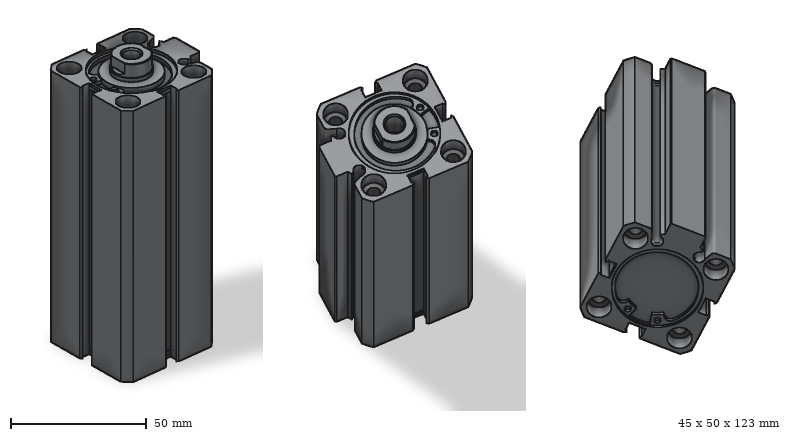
import cadquery as cq
import math

total_height = 123.0
rod_extension = 7.0
housing_length = total_height - rod_extension

housing_half = 22.5
corner_radius = 29.6
rail_half_width = 7.1
rail_top = 27.5
rail_edge_chamfer = 0.5

groove_center_x = 8.5
groove_center_y = 18.5
groove_radius = 2.2
lip_tip_x = 8.7
lip_tip_y = 21.5
neck_x = 7.0
neck_y = 19.5
wall_top_x = 11.8
wall_top_y = 21.2
mouth_x = 13.4
mouth_bulge = 0.2

slot_floor = 18.0
slot_half_width = 3.3
slot_mouth_half_width = 2.5
slot_lip_half_depth = 0.6

hole_offset = 16.2
hole_radius = 2.6
counterbore_radius = 4.5
counterbore_depth = 7.0

bore_radius = 16.9
ring_inset = 1.2
ring_thickness = 1.6
slot_wall = 0.1
ring_radius = slot_floor - slot_wall
cover_face_inset = ring_inset + ring_thickness
cover_length = 14.8
collar_radius = 12.2
collar_inset = 0.5

ring_inner_radius = 15.4
ring_inner_offset = 0.6
lug_inner_radius = 12.3
lug_half_angle = 35.0
gap_half_angle = 15.0
lug_fillet = 2.3
lug_hole_radius = 1.2
lug_hole_pitch_radius = 14.6
lug_hole_angle = 24.2

rod_radius = 8.0
tip_radius = 7.6
rod_shoulder = 1.1
tip_chamfer = 0.2
flat_half_width = 6.6
flat_bottom = 2.6
thread_radius = 3.5
thread_chamfer = 0.6
thread_depth = 12.9
drill_point_half_angle = 59.0


def cylinder(radius, bottom, top):
    return cq.Workplane("XY").workplane(offset=bottom).circle(radius).extrude(top - bottom)


def polar(radius, angle):
    """Point at an angle in degrees measured from the -Y axis."""
    return (radius * math.sin(math.radians(angle)), -radius * math.cos(math.radians(angle)))


def sector(radius, half_angle, height):
    """Pie slice centred on the -Y axis."""
    return (
        cq.Workplane("XY")
        .lineTo(*polar(radius, -half_angle))
        .threePointArc((0, -radius), polar(radius, half_angle))
        .close()
        .extrude(height)
    )


def housing_blank():
    side = 2 * housing_half
    block = cq.Workplane("XY").rect(side, side).extrude(housing_length)
    block = block.intersect(cylinder(corner_radius, 0, housing_length))
    rail = (
        cq.Workplane("XY")
        .center(0, rail_top / 2)
        .rect(2 * rail_half_width, rail_top)
        .extrude(housing_length)
        .edges("|Z and >Y")
        .chamfer(rail_edge_chamfer)
    )
    return block.union(rail)


def sensor_groove():
    """Round-bottomed groove on the +X side of the rail, with an undercut below the rail's lip."""
    wall_bottom_x = groove_center_x + groove_radius
    rounding_middle = (
        (wall_top_x + mouth_x) / 2 - mouth_bulge,
        (wall_top_y + housing_half) / 2 + mouth_bulge,
    )
    mouth = (
        cq.Workplane("XY")
        .moveTo(groove_center_x, groove_center_y)
        .lineTo(wall_bottom_x, groove_center_y)
        .lineTo(wall_top_x, wall_top_y)
        .threePointArc(rounding_middle, (mouth_x, housing_half))
        .lineTo(rail_half_width, housing_half)
        .lineTo(lip_tip_x, lip_tip_y)
        .lineTo(neck_x, neck_y)
        .close()
        .extrude(housing_length)
    )
    channel = (
        cq.Workplane("XY")
        .center(groove_center_x, groove_center_y)
        .circle(groove_radius)
        .extrude(housing_length)
    )
    return mouth.union(channel)


def side_slot(angle):
    """Slot in the -Y side with pointed lips at its mouth, turned by an angle about the bore axis."""
    face = -housing_half
    right_wall = [
        (slot_half_width, face),
        (slot_mouth_half_width, face + slot_lip_half_depth),
        (slot_half_width, face + 2 * slot_lip_half_depth),
        (slot_half_width, -slot_floor),
    ]
    left_wall = [(-x, y) for x, y in reversed(right_wall)]
    slot = cq.Workplane("XY").polyline(right_wall + left_wall).close().extrude(housing_length)
    return slot.rotate((0, 0, 0), (0, 0, 1), angle)


def mounting_holes():
    spacing = 2 * hole_offset
    through = (
        cq.Workplane("XY").rarray(spacing, spacing, 2, 2).circle(hole_radius).extrude(housing_length)
    )
    counterbores = (
        cq.Workplane("XY")
        .rarray(spacing, spacing, 2, 2)
        .circle(counterbore_radius)
        .extrude(counterbore_depth)
    )
    top_counterbores = counterbores.translate((0, 0, housing_length - counterbore_depth))
    return through.union(counterbores).union(top_counterbores)


def make_housing():
    body = housing_blank()
    groove = sensor_groove()
    body = body.cut(groove).cut(groove.mirror("YZ"))
    for angle in (-90, 0, 90):
        body = body.cut(side_slot(angle))
    body = body.cut(mounting_holes())
    body = body.cut(cylinder(bore_radius, 0, housing_length))
    for ring_bottom in (ring_inset, housing_length - cover_face_inset):
        body = body.cut(cylinder(ring_radius, ring_bottom, ring_bottom + ring_thickness))
    return body


def make_rod_cover():
    face = housing_length - cover_face_inset
    bottom = face - cover_length
    collar_top = housing_length - collar_inset
    flange = cylinder(bore_radius, bottom, face)
    collar = cylinder(collar_radius, face, collar_top)
    return flange.union(collar).cut(cylinder(rod_radius, bottom, collar_top))


def make_rear_cover():
    return cylinder(bore_radius, cover_face_inset, cover_face_inset + cover_length)


def make_retaining_ring(bottom):
    opening = (
        cq.Workplane("XY").center(0, -ring_inner_offset).circle(ring_inner_radius).extrude(ring_thickness)
    )
    opening = opening.cut(sector(ring_radius, lug_half_angle, ring_thickness))
    lug_root_y = polar(lug_inner_radius, lug_half_angle)[1]
    lug_roots = cq.selectors.BoxSelector(
        (-ring_radius, -ring_radius, 0), (ring_radius, lug_root_y, ring_thickness)
    )
    opening = opening.edges("|Z").edges(lug_roots).fillet(lug_fillet)
    opening = opening.union(cylinder(lug_inner_radius, 0, ring_thickness))
    ring = cylinder(ring_radius, 0, ring_thickness).cut(opening)
    ring = ring.cut(sector(ring_radius, gap_half_angle, ring_thickness))
    holes = (
        cq.Workplane("XY")
        .pushPoints([polar(lug_hole_pitch_radius, side * lug_hole_angle) for side in (-1, 1)])
        .circle(lug_hole_radius)
        .extrude(ring_thickness)
    )
    return ring.cut(holes).translate((0, 0, bottom))


def rod_flat():
    """Wrench flat on the -Y side with a 45 degree run-out at its lower end."""
    depth = rod_radius - flat_half_width
    start = housing_length + flat_bottom
    return (
        cq.Workplane("YZ")
        .moveTo(-flat_half_width, total_height)
        .lineTo(-flat_half_width, start)
        .lineTo(-flat_half_width - depth, start - depth)
        .lineTo(-flat_half_width - depth, total_height)
        .close()
        .extrude(rod_radius, both=True)
    )


def threaded_hole():
    """Blind tapping hole with a chamfered mouth and a drill point."""
    point_depth = thread_radius / math.tan(math.radians(drill_point_half_angle))
    floor = total_height - thread_depth
    return (
        cq.Workplane("XZ")
        .moveTo(0, total_height)
        .lineTo(thread_radius + thread_chamfer, total_height)
        .lineTo(thread_radius, total_height - thread_chamfer)
        .lineTo(thread_radius, floor)
        .lineTo(0, floor - point_depth)
        .close()
        .revolve()
    )


def make_rod():
    shoulder = housing_length + rod_shoulder
    rod = cylinder(rod_radius, cover_face_inset + cover_length, shoulder)
    tip = cylinder(tip_radius, shoulder, total_height).faces(">Z").chamfer(tip_chamfer)
    flat = rod_flat()
    return rod.union(tip).cut(flat).cut(flat.mirror("XZ")).cut(threaded_hole())


housing = make_housing()
rod_cover = make_rod_cover()
rear_cover = make_rear_cover()
rod = make_rod()
retaining_rings = [
    make_retaining_ring(bottom).val() for bottom in (ring_inset, housing_length - cover_face_inset)
]

result = cq.Compound.makeCompound(
    [housing.val(), rod_cover.val(), rear_cover.val(), rod.val(), *retaining_rings]
)